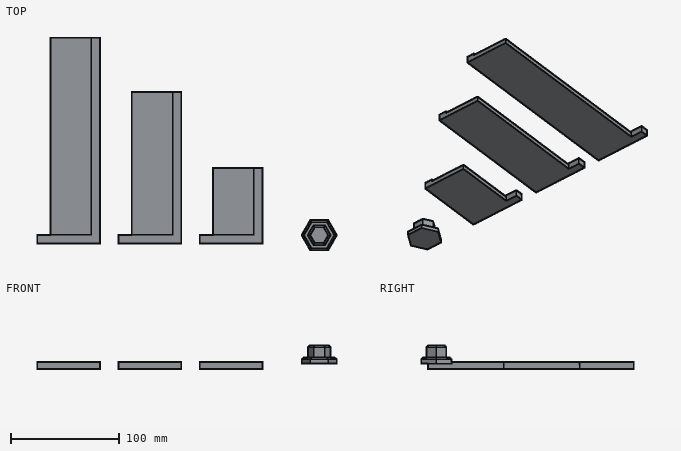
import cadquery as cq
import math

FLANGE_FLATS = 28.2
HEAD_FLATS = 18.2
FLANGE_HEIGHT = 5.8
PLUG_HEIGHT = 17.1
CHAMFER = 2.0

PLATE_LENGTHS = [190.0, 140.0, 70.0]
PLATE_WIDTH = 58.0
PLATE_PITCH = 75.0
BORDER_WIDTH = 8.0
BORDER_HEIGHT = 6.5
PANEL_HEIGHT = 5.0
PANEL_INSET = 12.2

TOTAL_LENGTH = 276.5
TOTAL_DEPTH = 196.3
TOTAL_HEIGHT = 22.0
FLANGE_CORNERS = FLANGE_FLATS / math.cos(math.pi / 6)
PLUG_X = TOTAL_LENGTH - FLANGE_CORNERS / 2
PLUG_Y = PLATE_LENGTHS[0] - TOTAL_DEPTH + FLANGE_FLATS / 2
PLUG_BASE_Z = TOTAL_HEIGHT - PLUG_HEIGHT


def make_plate(left, length):
    """One plate: raised borders along the front and right, low panel between."""
    front_border = cq.Workplane("XY").box(PLATE_WIDTH, BORDER_WIDTH, BORDER_HEIGHT, centered=False)
    right_border = (
        cq.Workplane("XY")
        .box(BORDER_WIDTH, length, BORDER_HEIGHT, centered=False)
        .translate((PLATE_WIDTH - BORDER_WIDTH, 0, 0))
    )
    panel = (
        cq.Workplane("XY")
        .box(PLATE_WIDTH - PANEL_INSET, length, PANEL_HEIGHT, centered=False)
        .translate((PANEL_INSET, 0, 0))
    )
    return front_border.union(right_border).union(panel).translate((left, 0, 0))


def make_hex(flats, height):
    """A hexagonal prism with corners on the X axis and a chamfered top rim."""
    corners = flats / math.cos(math.pi / 6)
    return cq.Workplane("XY").polygon(6, corners).extrude(height).faces(">Z").chamfer(CHAMFER)


def make_plug():
    """A hexagonal head standing on a wider hexagonal flange."""
    flange = make_hex(FLANGE_FLATS, FLANGE_HEIGHT)
    head = make_hex(HEAD_FLATS, PLUG_HEIGHT)
    return flange.union(head).translate((PLUG_X, PLUG_Y, PLUG_BASE_Z))


plates = []
for index, plate_length in enumerate(PLATE_LENGTHS):
    plates.append(make_plate(index * PLATE_PITCH, plate_length))

plug = make_plug()

result = cq.Compound.makeCompound([*[plate.val() for plate in plates], plug.val()])